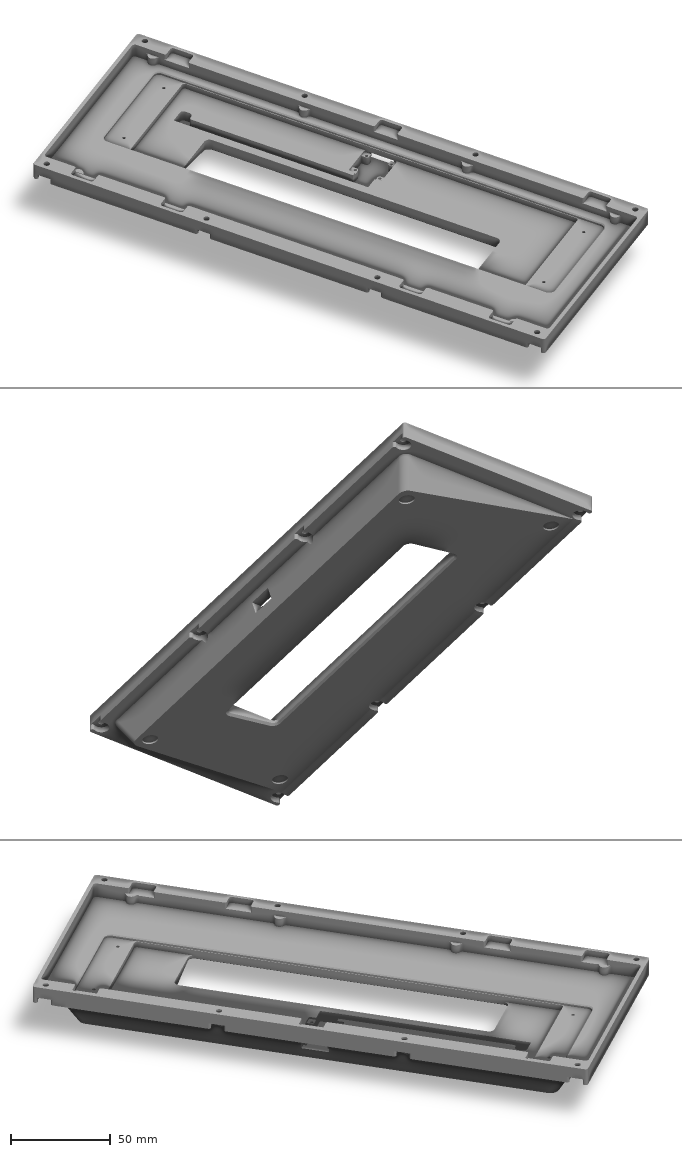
import cadquery as cq
import math

LENGTH = 290.2
WIDTH = 113.2
TOTAL_HEIGHT = 25.0
RIM_HEIGHT = 9.3
RIM_CORNER_RADIUS = 1.5
END_WALL = 2.0
CAVITY_LENGTH = LENGTH - 2 * END_WALL
CAVITY_HALF_WIDTH = 48.5
CAVITY_DEPTH = 7.8
CAVITY_CORNER_RADIUS = 1.7

BODY_HALF_LENGTH = 134.5
BODY_SIDE_ANGLE = 30.0
BODY_BACK_ANGLE = 20.0
BODY_FRONT_Y = -52.0
BODY_BACK_Y = 50.0
BODY_CORNER_RADIUS = 4.5
WEDGE_DROP = TOTAL_HEIGHT - RIM_HEIGHT
LOWEST_Y = BODY_BACK_Y - WEDGE_DROP * math.tan(math.radians(BODY_BACK_ANGLE))
UNDERSIDE_SLOPE = WEDGE_DROP / (LOWEST_Y - BODY_FRONT_Y)
UNDERSIDE_ANGLE = math.degrees(math.atan(UNDERSIDE_SLOPE))

CHAMFER_ANGLE = 45.0

PANEL_LENGTH = 255.0
PANEL_FRONT_Y = -15.5
PANEL_BACK_Y = 43.5
PANEL_DEPTH = 1.7
PANEL_CORNER_RADIUS = 3.2
PANEL_CHAMFER = 0.5
WELL_LENGTH = 224.0
WELL_FRONT_Y = -15.0
WELL_BACK_Y = 43.2
WELL_Z = -12.8
WELL_CORNER_RADIUS = 1.5
PANEL_Z = -CAVITY_DEPTH - PANEL_DEPTH

WINDOW_LENGTH = 167.2
WINDOW_BACK_Y = 14.5
WINDOW_CORNER_RADIUS = 3.0
WINDOW_CHAMFER = 1.2

POCKET_Z = -19.0
POCKET_HALF_LENGTH = 9.3
POCKET_FRONT_Y = 25.8
POCKET_CORNER_RADIUS = 1.0
NECK_HALF_LENGTH = 5.5
CHANNEL_FRONT_Y = 19.0
CHANNEL_BACK_Y = 23.5
CHANNEL_LEFT_X = -104.8
CHANNEL_END_LENGTH = 6.5
CHANNEL_END_BACK_Y = 27.5
CHANNEL_END_RADIUS = 2.0
CHANNEL_BEND_RADIUS = 1.5
CONNECTOR_HALF_LENGTH = 7.3
CONNECTOR_HEIGHT = 5.8
POST_LENGTH = 3.8
FRONT_POST_WIDTH = 4.4
BACK_POST_WIDTH = 3.5
POST_TOP_Z = -14.0
POST_CORNER_RADIUS = 1.5
POST_HOLE_X = 7.0
POST_HOLE_YS = (28.7, 41.0)

PILOT_DIAMETER = 1.7
PILOT_DEPTH = 3.0
PILOT_X = 119.0
PILOT_YS = (-7.8, 35.5)
RIM_HOLE_DIAMETER = 3.2
RIM_HOLE_XS = (-139.0, -48.5, 48.5, 139.0)
RIM_HOLE_Y = 53.0
HEAD_DIAMETER = 8.0
HEAD_ROOF_Z = -6.0
HEAD_MOUTH_RADIUS = 1.2

TAB_LENGTH = 12.8
TAB_OUTER_Y = 55.0
TAB_DEPTH = 3.5
TAB_CORNER_RADIUS = 1.5
TAB_MOUTH_RADIUS = 1.0
BACK_TAB_XS = (-118.5, 0.0, 118.5)
FRONT_TAB_XS = (-118.5, -67.5, 67.5, 118.5)

BOSS_RADIUS = 2.5
BOSS_FLARE_RADIUS = 1.5
BOSS_TOP_Z = -3.2
BACK_BOSS_XS = (-132.0, -46.1, 46.1, 130.0)
FRONT_BOSS_XS = (-123.6, -46.1, 46.1, 123.6)

FOOT_DIAMETER = 8.0
FOOT_DEPTH = 1.0
FOOT_CENTRES = ((-124.8, -44.7), (124.8, -44.7), (-118.0, 37.5), (118.0, 37.5))


def block(x_min, x_max, y_min, y_max, z_min, z_max):
    """Box given by its limits along the three axes."""
    size = (x_max - x_min, y_max - y_min, z_max - z_min)
    return cq.Workplane("XY").box(*size, centered=False).translate((x_min, y_min, z_min))


def rounded_block(x_min, x_max, y_min, y_max, z_min, z_max, radius):
    """Box with rounded vertical edges."""
    return block(x_min, x_max, y_min, y_max, z_min, z_max).edges("|Z").fillet(radius)


def cylinder(x, y, diameter, z_min, z_max):
    """Upright cylinder."""
    base = cq.Workplane("XY", origin=(x, y, z_min))
    return base.circle(diameter / 2).extrude(z_max - z_min)


def flared_round(radius, face_distance, lip_radius, z_min, z_max):
    """Upright round column that widens into a flat face through two lip arcs.

    It is centred on the origin and the face lies at y = face_distance.
    """
    lip_y = face_distance - lip_radius
    lip_x = math.sqrt((radius + lip_radius) ** 2 - lip_y ** 2)
    tangent_x = lip_x * radius / (radius + lip_radius)
    tangent_y = lip_y * radius / (radius + lip_radius)
    tangent_angle = math.atan2(-lip_y, -lip_x) % (2 * math.pi)
    middle_angle = (math.pi / 2 + tangent_angle) / 2
    middle_x = lip_x + lip_radius * math.cos(middle_angle)
    middle_y = lip_y + lip_radius * math.sin(middle_angle)
    return (
        cq.Workplane("XY", origin=(0, 0, z_min))
        .moveTo(lip_x, face_distance)
        .threePointArc((middle_x, middle_y), (tangent_x, tangent_y))
        .threePointArc((0, -radius), (-tangent_x, tangent_y))
        .threePointArc((-middle_x, middle_y), (-lip_x, face_distance))
        .close()
        .extrude(z_max - z_min)
    )


def underside_z(y):
    """Height of the sloping underside at a given y."""
    return -RIM_HEIGHT - (y - BODY_FRONT_Y) * UNDERSIDE_SLOPE


def make_rim():
    """Solid plate that the cavity turns into the rim frame."""
    return rounded_block(
        -LENGTH / 2, LENGTH / 2, -WIDTH / 2, WIDTH / 2, -RIM_HEIGHT, 0, RIM_CORNER_RADIUS
    )


def make_wedge():
    """Wedge with inclined ends and back and a sloping underside, hanging below the rim."""
    lowest_half_length = BODY_HALF_LENGTH - WEDGE_DROP * math.tan(math.radians(BODY_SIDE_ANGLE))
    ends = (
        cq.Workplane("XZ", origin=(0, WIDTH / 2, 0))
        .polyline([
            (-BODY_HALF_LENGTH, -RIM_HEIGHT),
            (BODY_HALF_LENGTH, -RIM_HEIGHT),
            (lowest_half_length, -TOTAL_HEIGHT),
            (-lowest_half_length, -TOTAL_HEIGHT),
        ])
        .close()
        .extrude(WIDTH)
    )
    profile = (
        cq.Workplane("YZ", origin=(-LENGTH / 2, 0, 0))
        .polyline([
            (BODY_FRONT_Y, -RIM_HEIGHT),
            (BODY_BACK_Y, -RIM_HEIGHT),
            (LOWEST_Y, -TOTAL_HEIGHT),
        ])
        .close()
        .extrude(LENGTH)
    )
    wedge = ends.intersect(profile)
    back_corners = cq.selectors.BoxSelector(
        (-LENGTH, LOWEST_Y, -TOTAL_HEIGHT + 3), (LENGTH, BODY_BACK_Y, -RIM_HEIGHT - 3)
    )
    return wedge.edges(back_corners).fillet(BODY_CORNER_RADIUS)


def make_tab_slots():
    """Shallow slots that open into the cavity from the long rims."""
    slots = cq.Workplane("XY")
    for side, xs in ((1, BACK_TAB_XS), (-1, FRONT_TAB_XS)):
        y_min, y_max = sorted((side * CAVITY_HALF_WIDTH, side * TAB_OUTER_Y))
        outer_edges = "|Z and >Y" if side > 0 else "|Z and <Y"
        for x in xs:
            slot = block(x - TAB_LENGTH / 2, x + TAB_LENGTH / 2, y_min, y_max, -TAB_DEPTH, 0)
            slots = slots.union(slot.edges(outer_edges).fillet(TAB_CORNER_RADIUS))
    return slots


def make_cavity():
    """Open cavity with its tab slots, stepped recess and window."""
    half = CAVITY_LENGTH / 2
    cavity = rounded_block(
        -half, half, -CAVITY_HALF_WIDTH, CAVITY_HALF_WIDTH, -CAVITY_DEPTH, 0, CAVITY_CORNER_RADIUS
    )
    slot_mouths = cq.selectors.BoxSelector(
        (-LENGTH / 2, -CAVITY_HALF_WIDTH - TAB_MOUTH_RADIUS, -TAB_DEPTH),
        (LENGTH / 2, CAVITY_HALF_WIDTH + TAB_MOUTH_RADIUS, 0),
    )
    cavity = cavity.union(make_tab_slots()).edges("|Z").edges(slot_mouths).fillet(TAB_MOUTH_RADIUS)
    half = PANEL_LENGTH / 2
    panel = rounded_block(
        -half, half, PANEL_FRONT_Y, PANEL_BACK_Y, PANEL_Z, -CAVITY_DEPTH, PANEL_CORNER_RADIUS
    )
    panel_mouth = panel.faces(">Z").wires().toPending().offset2D(PANEL_CHAMFER)
    panel = panel.union(panel_mouth.extrude(-PANEL_CHAMFER, taper=CHAMFER_ANGLE))
    half = WELL_LENGTH / 2
    well = rounded_block(
        -half, half, WELL_FRONT_Y, WELL_BACK_Y, WELL_Z, PANEL_Z, WELL_CORNER_RADIUS
    )
    half = WINDOW_LENGTH / 2
    window = rounded_block(
        -half, half, WELL_FRONT_Y, WINDOW_BACK_Y, -TOTAL_HEIGHT, WELL_Z, WINDOW_CORNER_RADIUS
    )
    return cavity.union(panel).union(well).union(window).union(make_window_chamfer())


def make_window_chamfer():
    """Tapered mouth of the window, square to the sloping underside."""
    middle_y = (WELL_FRONT_Y + WINDOW_BACK_Y) / 2
    sloping_width = (WINDOW_BACK_Y - WELL_FRONT_Y) / math.cos(math.radians(UNDERSIDE_ANGLE))
    mouth = (
        cq.Sketch()
        .rect(WINDOW_LENGTH + 2 * WINDOW_CHAMFER, sloping_width + 2 * WINDOW_CHAMFER)
        .vertices()
        .fillet(WINDOW_CORNER_RADIUS + WINDOW_CHAMFER)
    )
    return (
        cq.Workplane("XY")
        .placeSketch(mouth)
        .extrude(WINDOW_CHAMFER, taper=CHAMFER_ANGLE)
        .rotate((0, 0, 0), (1, 0, 0), -UNDERSIDE_ANGLE)
        .translate((0, middle_y, underside_z(middle_y)))
    )


def make_board_pocket():
    """Board pocket with four corner posts left standing, and its cable channel."""
    pocket = rounded_block(
        -POCKET_HALF_LENGTH, POCKET_HALF_LENGTH, POCKET_FRONT_Y, WELL_BACK_Y,
        POCKET_Z, WELL_Z, POCKET_CORNER_RADIUS,
    )
    posts = (
        (POCKET_FRONT_Y, POCKET_FRONT_Y + FRONT_POST_WIDTH, "|Z and >Y"),
        (WELL_BACK_Y - BACK_POST_WIDTH, WELL_BACK_Y, "|Z and <Y"),
    )
    for y_min, y_max, free_edges in posts:
        right_post = block(
            POCKET_HALF_LENGTH - POST_LENGTH, POCKET_HALF_LENGTH, y_min, y_max, POCKET_Z, POST_TOP_Z
        )
        right_post = right_post.edges(free_edges).edges("<X").fillet(POST_CORNER_RADIUS)
        pocket = pocket.cut(right_post).cut(right_post.mirror("YZ"))
    neck = block(
        -NECK_HALF_LENGTH, NECK_HALF_LENGTH, CHANNEL_FRONT_Y, WELL_BACK_Y, POCKET_Z, WELL_Z
    )
    channel = block(
        CHANNEL_LEFT_X, NECK_HALF_LENGTH, CHANNEL_FRONT_Y, CHANNEL_BACK_Y, POCKET_Z, WELL_Z
    )
    channel_end_x = CHANNEL_LEFT_X + CHANNEL_END_LENGTH
    channel_end = block(
        CHANNEL_LEFT_X, channel_end_x, CHANNEL_FRONT_Y, CHANNEL_END_BACK_Y, POCKET_Z, WELL_Z
    )
    channel_end = channel_end.edges("|Z and >Y").fillet(CHANNEL_END_RADIUS)
    bend = cq.selectors.BoxSelector(
        (channel_end_x - CHANNEL_BEND_RADIUS, CHANNEL_BACK_Y - CHANNEL_BEND_RADIUS, POCKET_Z),
        (channel_end_x + CHANNEL_BEND_RADIUS, CHANNEL_BACK_Y + CHANNEL_BEND_RADIUS, WELL_Z),
    )
    channel = channel.union(channel_end).edges("|Z").edges(bend).fillet(CHANNEL_BEND_RADIUS)
    connector = block(
        -CONNECTOR_HALF_LENGTH, CONNECTOR_HALF_LENGTH, WELL_BACK_Y, BODY_BACK_Y,
        POCKET_Z, POCKET_Z + CONNECTOR_HEIGHT,
    )
    pocket = pocket.union(neck).union(channel).union(connector)
    for x in (-POST_HOLE_X, POST_HOLE_X):
        for y in POST_HOLE_YS:
            hole = cylinder(x, y, PILOT_DIAMETER, POST_TOP_Z - PILOT_DEPTH, POST_TOP_Z)
            pocket = pocket.union(hole)
    return pocket


def make_bosses():
    """Half-round bosses centred on the long cavity walls, with flared roots."""
    bosses = cq.Workplane("XY")
    back_boss = flared_round(BOSS_RADIUS, 0, BOSS_FLARE_RADIUS, -CAVITY_DEPTH, BOSS_TOP_Z)
    front_boss = back_boss.mirror("XZ")
    for x in BACK_BOSS_XS:
        bosses = bosses.union(back_boss.translate((x, CAVITY_HALF_WIDTH, 0)))
    for x in FRONT_BOSS_XS:
        bosses = bosses.union(front_boss.translate((x, -CAVITY_HALF_WIDTH, 0)))
    return bosses


def make_screw_holes():
    """Rim screws with head recesses, and blind pilot holes in the panel ledges."""
    back_notch = flared_round(
        HEAD_DIAMETER / 2, WIDTH / 2 - RIM_HOLE_Y, HEAD_MOUTH_RADIUS, -TOTAL_HEIGHT, HEAD_ROOF_Z
    )
    front_notch = back_notch.mirror("XZ")
    holes = cq.Workplane("XY")
    for x in RIM_HOLE_XS:
        for y, notch in ((RIM_HOLE_Y, back_notch), (-RIM_HOLE_Y, front_notch)):
            holes = holes.union(cylinder(x, y, RIM_HOLE_DIAMETER, -RIM_HEIGHT, 0))
            holes = holes.union(notch.translate((x, y, 0)))
    for x in (-PILOT_X, PILOT_X):
        for y in PILOT_YS:
            holes = holes.union(cylinder(x, y, PILOT_DIAMETER, PANEL_Z - PILOT_DEPTH, PANEL_Z))
    return holes


def make_foot_recesses():
    """Shallow round recesses square to the sloping underside."""
    feet = cq.Workplane("XY")
    for x, y in FOOT_CENTRES:
        foot = cq.Workplane("XY").circle(FOOT_DIAMETER / 2).extrude(FOOT_DEPTH, both=True)
        foot = foot.rotate((0, 0, 0), (1, 0, 0), -UNDERSIDE_ANGLE)
        feet = feet.union(foot.translate((x, y, underside_z(y))))
    return feet


result = (
    make_rim()
    .union(make_wedge())
    .cut(make_cavity())
    .cut(make_board_pocket())
    .union(make_bosses())
    .cut(make_screw_holes())
    .cut(make_foot_recesses())
)